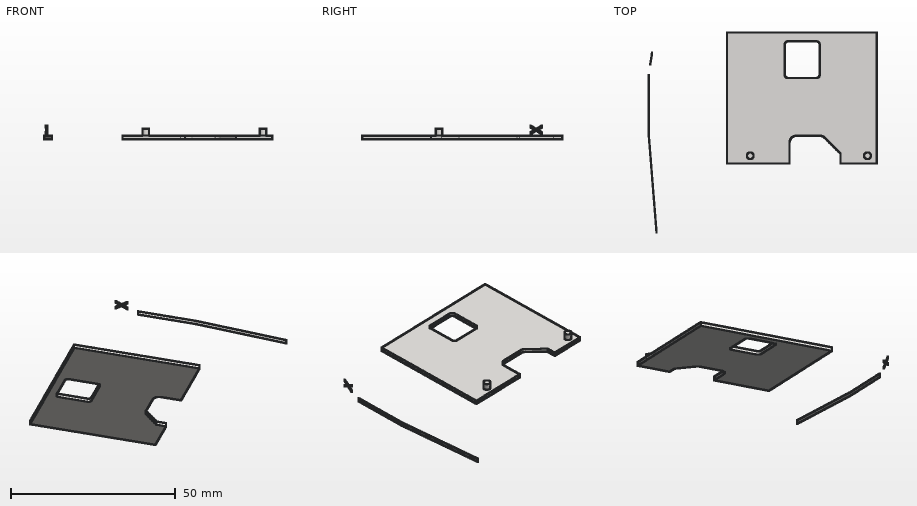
import cadquery as cq

PLATE_X = 23.75
PLATE_Y = 21.0
PLATE_WIDTH = 45.45
PLATE_DEPTH = 39.8
THICKNESS = 1.2

WINDOW_X = 17.6
WINDOW_Y = 25.95
WINDOW_WIDTH = 10.5
WINDOW_DEPTH = 11.1
WINDOW_RADIUS = 1.0

NOTCH_LEFT = 19.0
NOTCH_RIGHT = 34.4
NOTCH_DEPTH = 8.4
NOTCH_SIDE_HEIGHT = 3.05
NOTCH_RADIUS = 2.0

PEG_DIAMETER = 2.1
PEG_HEIGHT = 2.1
PEG_FIRST_X = 7.05
PEG_SPACING = 35.6
PEG_INSET_Y = 2.35

STRIP_THICKNESS = 0.1
STRIP_BEND_Y = 29.5
STRIP_END_Y = 47.8
STRIP_LEAN_X = 2.35

CROSS_CENTER = (0.75, 52.8, 2.9)
CROSS_LENGTH = 3.6
CROSS_HEIGHT = 2.6
CROSS_END_HEIGHT = 0.55
CROSS_THICKNESS = 0.1
CROSS_TURN = 81.0


def make_window():
    return (
        cq.Workplane("XY")
        .box(WINDOW_WIDTH, WINDOW_DEPTH, THICKNESS, centered=False)
        .edges("|Z")
        .fillet(WINDOW_RADIUS)
        .translate((PLATE_X + WINDOW_X, PLATE_Y + WINDOW_Y, 0))
    )


def make_notch():
    slope = NOTCH_DEPTH - NOTCH_SIDE_HEIGHT
    outline = [
        (NOTCH_LEFT, 0),
        (NOTCH_RIGHT, 0),
        (NOTCH_RIGHT, NOTCH_SIDE_HEIGHT),
        (NOTCH_RIGHT - slope, NOTCH_DEPTH),
        (NOTCH_LEFT, NOTCH_DEPTH),
    ]
    return (
        cq.Workplane("XY")
        .polyline(outline)
        .close()
        .extrude(THICKNESS)
        .edges("|Z and >Y")
        .fillet(NOTCH_RADIUS)
        .translate((PLATE_X, PLATE_Y, 0))
    )


def make_plate():
    plate = (
        cq.Workplane("XY")
        .box(PLATE_WIDTH, PLATE_DEPTH, THICKNESS, centered=False)
        .translate((PLATE_X, PLATE_Y, 0))
        .cut(make_window())
        .cut(make_notch())
    )
    peg_y = PLATE_Y + PEG_INSET_Y
    first_x = PLATE_X + PEG_FIRST_X
    pegs = (
        cq.Workplane("XY")
        .pushPoints([(first_x, peg_y), (first_x + PEG_SPACING, peg_y)])
        .circle(PEG_DIAMETER / 2)
        .extrude(THICKNESS + PEG_HEIGHT)
    )
    return plate.union(pegs)


def make_strip():
    outline = [
        (0, STRIP_END_Y),
        (0, STRIP_BEND_Y),
        (STRIP_LEAN_X, 0),
        (STRIP_LEAN_X + STRIP_THICKNESS, 0),
        (STRIP_THICKNESS, STRIP_BEND_Y),
        (STRIP_THICKNESS, STRIP_END_Y),
    ]
    return cq.Workplane("XY").polyline(outline).close().extrude(THICKNESS)


def make_cross_bar(direction):
    """One diagonal bar with upright ends; direction is +1 rising or -1 falling."""
    half_length = CROSS_LENGTH / 2
    high = CROSS_HEIGHT / 2
    low = high - CROSS_END_HEIGHT
    outline = [
        (-half_length, -direction * high),
        (half_length, direction * low),
        (half_length, direction * high),
        (-half_length, -direction * low),
    ]
    return cq.Workplane("XZ").polyline(outline).close().extrude(CROSS_THICKNESS / 2, both=True)


def make_cross():
    return (
        make_cross_bar(1)
        .union(make_cross_bar(-1))
        .rotate((0, 0, 0), (0, 0, 1), CROSS_TURN)
        .translate(CROSS_CENTER)
    )


plate = make_plate()
strip = make_strip()
cross = make_cross()

result = cq.Compound.makeCompound([plate.val(), strip.val(), cross.val()])